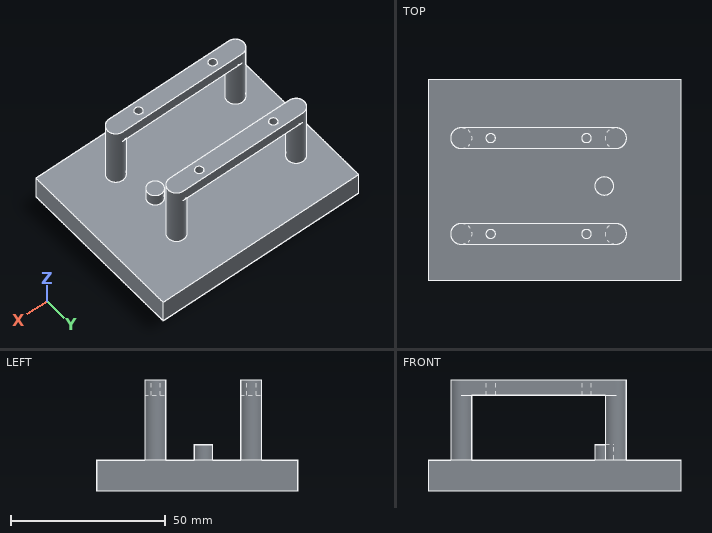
import cadquery as cq

BASE_LENGTH = 81.77
BASE_WIDTH = 65.09
BASE_THICKNESS = 10.0

TOTAL_HEIGHT = 36.0
POST_DIAMETER = 6.83
POST_SPACING = 50.0
BAR_THICKNESS = 5.0
BRIDGE_SPACING = 31.0
FIRST_POST_X = 10.65
FIRST_BRIDGE_Y = 15.09

HOLE_DIAMETER = 3.0
HOLE_SPACING = 31.0

PIN_DIAMETER = 6.0
PIN_HEIGHT = 5.0
PIN_X = 56.9

post_height = TOTAL_HEIGHT - BASE_THICKNESS
bar_bottom = TOTAL_HEIGHT - BAR_THICKNESS
bridge_middle_x = FIRST_POST_X + POST_SPACING / 2
pin_y = FIRST_BRIDGE_Y + BRIDGE_SPACING / 2


def make_base():
    return cq.Workplane("XY").box(BASE_LENGTH, BASE_WIDTH, BASE_THICKNESS, centered=False)


def make_bridge(bridge_y):
    """Round-ended bar on two posts, drilled through from the top."""
    posts = (
        cq.Workplane("XY", origin=(bridge_middle_x, bridge_y, BASE_THICKNESS))
        .rarray(POST_SPACING, 1, 2, 1)
        .circle(POST_DIAMETER / 2)
        .extrude(post_height)
    )
    bar = (
        cq.Workplane("XY", origin=(bridge_middle_x, bridge_y, bar_bottom))
        .rect(POST_SPACING, POST_DIAMETER)
        .extrude(BAR_THICKNESS)
    )
    holes = (
        cq.Workplane("XY", origin=(bridge_middle_x, bridge_y, bar_bottom))
        .rarray(HOLE_SPACING, 1, 2, 1)
        .circle(HOLE_DIAMETER / 2)
        .extrude(BAR_THICKNESS)
    )
    return posts.union(bar).cut(holes)


def make_pin():
    return (
        cq.Workplane("XY", origin=(PIN_X, pin_y, BASE_THICKNESS))
        .circle(PIN_DIAMETER / 2)
        .extrude(PIN_HEIGHT)
    )


result = make_base().union(make_pin())
for bridge_y in (FIRST_BRIDGE_Y, FIRST_BRIDGE_Y + BRIDGE_SPACING):
    result = result.union(make_bridge(bridge_y))